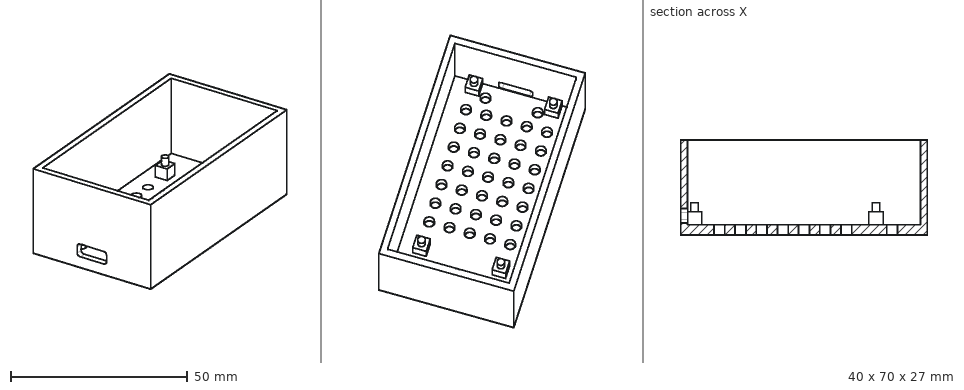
import cadquery as cq

length_x = 40.0
width_y = 70.0
height_z = 27.0
wall = 2.0
floor_thickness = 3.0

hole_diameter = 3.0
grid_pitch = 6.0
grid_columns = 5
grid_rows = 7
grid_center_y = -6.0

mount_holes = [(0.0, 25.0), (-7.75, -29.0), (7.75, -29.0)]

standoff_side = 4.0
standoff_height = 3.7
standoff_offset_x = 11.75
standoff_pitch_y = 51.4
pin_diameter = 2.15
pin_height = 2.5

port_width = 10.0
port_height = 4.0
port_center_z = 5.5
port_corner_radius = 1.0

inner_front_y = -width_y / 2 + wall
standoff_front_y = inner_front_y + standoff_side / 2
standoff_points = [
    (x, y)
    for x in (-standoff_offset_x, standoff_offset_x)
    for y in (standoff_front_y, standoff_front_y + standoff_pitch_y)
]


def make_box():
    outer = cq.Workplane("XY").box(length_x, width_y, height_z, centered=(True, True, False))
    cavity = (
        cq.Workplane("XY", origin=(0, 0, floor_thickness))
        .rect(length_x - 2 * wall, width_y - 2 * wall)
        .extrude(height_z - floor_thickness)
    )
    return outer.cut(cavity)


def make_standoffs():
    blocks = (
        cq.Workplane("XY", origin=(0, 0, floor_thickness))
        .pushPoints(standoff_points)
        .rect(standoff_side, standoff_side)
        .extrude(standoff_height)
    )
    pins = (
        cq.Workplane("XY", origin=(0, 0, floor_thickness))
        .pushPoints(standoff_points)
        .circle(pin_diameter / 2)
        .extrude(standoff_height + pin_height)
    )
    return blocks.union(pins)


def make_floor_holes():
    grid = (
        cq.Workplane("XY", origin=(0, grid_center_y, 0))
        .rarray(grid_pitch, grid_pitch, grid_columns, grid_rows)
        .circle(hole_diameter / 2)
        .extrude(floor_thickness)
    )
    mounts = (
        cq.Workplane("XY")
        .pushPoints(mount_holes)
        .circle(hole_diameter / 2)
        .extrude(floor_thickness)
    )
    return grid.union(mounts)


def make_port():
    return (
        cq.Workplane("XY")
        .box(port_width, wall, port_height)
        .edges("|Y")
        .fillet(port_corner_radius)
        .translate((0, -width_y / 2 + wall / 2, port_center_z))
    )


result = make_box().cut(make_floor_holes()).union(make_standoffs()).cut(make_port())